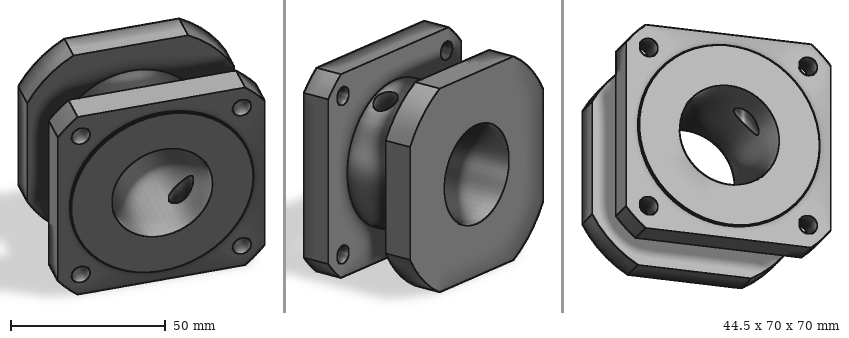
import cadquery as cq

flange_width = 70.0
flange_thickness = 10.0
neck_length = 23.5
lip_height = 1.0
lip_chamfer = 0.3

front_round_diameter = 80.0
rear_round_diameter = 90.0
neck_diameter = 50.0
lip_diameter = 62.0
bore_diameter = 34.0

bolt_hole_diameter = 6.2
bolt_offset = 27.2

cross_hole_diameter = 8.0
cross_hole_x = 28.5
cross_hole_y = 11.3

neck_start = flange_thickness
rear_start = neck_start + neck_length
lip_start = rear_start + flange_thickness
total_length = lip_start + lip_height


def plane_at(x):
    """YZ plane at x, facing +X."""
    return cq.Workplane("YZ", origin=(x, 0, 0))


def cylinder(x, diameter, length):
    return plane_at(x).circle(diameter / 2).extrude(length)


def flange(x, round_diameter):
    """Square plate whose corners are trimmed by a cylinder."""
    plate = plane_at(x).rect(flange_width, flange_width).extrude(flange_thickness)
    return plate.intersect(cylinder(x, round_diameter, flange_thickness))


body = flange(0, front_round_diameter)
body = body.union(cylinder(neck_start, neck_diameter, neck_length))
body = body.union(flange(rear_start, rear_round_diameter))
lip = cylinder(lip_start, lip_diameter, lip_height).faces(">X").chamfer(lip_chamfer)
body = body.union(lip)

body = body.cut(cylinder(0, bore_diameter, total_length))

bolt_holes = (
    plane_at(rear_start)
    .rect(2 * bolt_offset, 2 * bolt_offset, forConstruction=True)
    .vertices()
    .circle(bolt_hole_diameter / 2)
    .extrude(flange_thickness)
)
body = body.cut(bolt_holes)

cross_hole = (
    cq.Workplane("XY")
    .center(cross_hole_x, cross_hole_y)
    .circle(cross_hole_diameter / 2)
    .extrude(neck_diameter / 2, both=True)
)
result = body.cut(cross_hole)